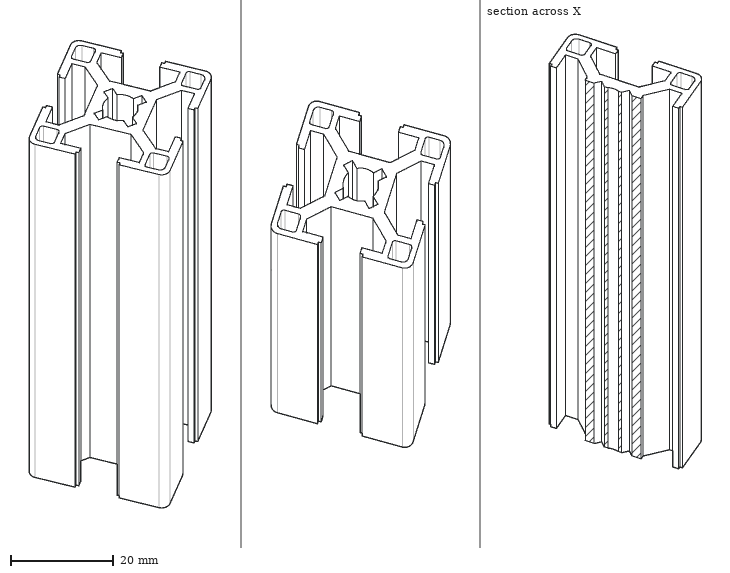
import cadquery as cq

length = 96.4
side = 28.9
half = side / 2
outer_radius = 1.7

lip_thickness = 1.8
slot_half_width = 3.95
step_width = 0.6
step_depth = 0.6
channel_half_width = 8.1
core_half = 6.1
arm_offset = 1.8

hollow_size = 3.95
hollow_outer_wall = 1.2
hollow_outer_radius = 1.1
hollow_inner_radius = 0.6

bore_radius = 3.5
relief_width = 1.9
relief_reach = 5.2


def slot_cutter():
    """T-slot opening through the +Y face, along the full length."""
    right_side = [
        (slot_half_width + step_width, half),
        (slot_half_width + step_width, half - step_depth),
        (slot_half_width, half - step_depth),
        (slot_half_width, half - lip_thickness),
        (channel_half_width, half - lip_thickness),
        (channel_half_width, channel_half_width + arm_offset),
        (core_half - arm_offset, core_half),
    ]
    left_side = [(-x, y) for x, y in reversed(right_side)]
    return cq.Workplane("XY").polyline(right_side + left_side).close().extrude(length)


def hollow_cutter():
    """Square hollow in the +X +Y corner, rounded most at its outermost corner."""
    centre = half - hollow_outer_wall - hollow_size / 2
    hollow = cq.Workplane("XY").center(centre, centre).rect(hollow_size, hollow_size).extrude(length)
    hollow = hollow.edges("|Z and >(1,1,0)").fillet(hollow_outer_radius)
    sharp_edges = "|Z and ((<X and <Y) or (<X and >Y) or (>X and <Y))"
    return hollow.edges(sharp_edges).fillet(hollow_inner_radius)


def bore_cutter():
    """Round bore crossed by two narrow diagonal slots."""
    bore = cq.Workplane("XY").circle(bore_radius).extrude(length)
    for angle in (45, 135):
        relief = cq.Workplane("XY").rect(2 * relief_reach, relief_width).extrude(length)
        bore = bore.union(relief.rotate((0, 0, 0), (0, 0, 1), angle))
    return bore


result = cq.Workplane("XY").rect(side, side).extrude(length).edges("|Z").fillet(outer_radius)
for angle in (0, 90, 180, 270):
    for cutter in (slot_cutter(), hollow_cutter()):
        result = result.cut(cutter.rotate((0, 0, 0), (0, 0, 1), angle))
result = result.cut(bore_cutter())